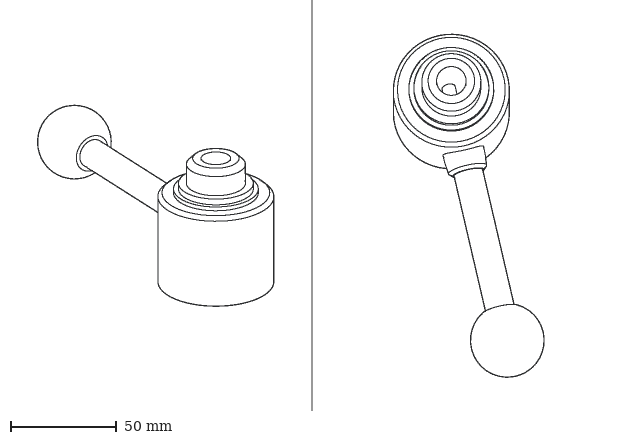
import cadquery as cq
import math

hub_radius = 27.5
hub_height = 46.5
hub_chamfer = 2.0
washer_radius = 20.1
washer_height = 2.0
flange_radius = 17.75
flange_height = 3.0
spigot_radius = 14.0
spigot_height = 13.0
spigot_chamfer = 3.0
bore_radius = 7.0
washer_top = hub_height + washer_height
flange_top = washer_top + flange_height
spigot_top = flange_top + spigot_height

lever_axis_z = 26.0
rod_radius = 7.0
pin_radius = 3.2

collar_reach = 36.5
collar_chamfer = 1.7
collar_end_radius = 7.6
collar_shoulder_radius = collar_end_radius + collar_chamfer
collar_root_radius = 9.9
collar_root_reach = 24.0
collar_bulge = 0.15

ball_radius = 17.5
ball_reach = 120.0
ball_flat_offset = 15.0


def disc(radius, base_z, height):
    """Cylinder on the hub axis."""
    return cq.Workplane("XY").workplane(offset=base_z).circle(radius).extrude(height)


def bar(radius, start_x, end_x):
    """Cylinder on the lever axis."""
    plane = cq.Plane(origin=(start_x, 0, lever_axis_z), xDir=(0, 1, 0), normal=(1, 0, 0))
    return cq.Workplane(plane).circle(radius).extrude(end_x - start_x)


def make_hub():
    body = disc(hub_radius, 0, hub_height).faces(">Z").edges().chamfer(hub_chamfer)
    washer = disc(washer_radius, hub_height, washer_height)
    flange = disc(flange_radius, washer_top, flange_height)
    spigot = disc(spigot_radius, flange_top, spigot_height).faces(">Z").edges().chamfer(spigot_chamfer)
    return body.union(washer).union(flange).union(spigot)


def make_bore():
    return disc(bore_radius, 0, spigot_top)


def make_collar():
    shoulder_x = -collar_reach + collar_chamfer
    bulge_x = (shoulder_x - collar_root_reach) / 2
    bulge_radius = (collar_shoulder_radius + collar_root_radius) / 2 + collar_bulge
    profile = (
        cq.Workplane("XZ", origin=(0, 0, lever_axis_z))
        .moveTo(-collar_reach, 0)
        .lineTo(-collar_reach, collar_end_radius)
        .lineTo(shoulder_x, collar_shoulder_radius)
        .threePointArc((bulge_x, bulge_radius), (-collar_root_reach, collar_root_radius))
        .lineTo(-collar_root_reach, 0)
        .close()
    )
    return profile.revolve(360, (0, 0, 0), (1, 0, 0))


def make_ball():
    flat_x = -ball_reach + ball_flat_offset
    flat_radius = math.sqrt(ball_radius**2 - ball_flat_offset**2)
    profile = (
        cq.Workplane("XZ", origin=(0, 0, lever_axis_z))
        .moveTo(-ball_reach - ball_radius, 0)
        .threePointArc((-ball_reach, ball_radius), (flat_x, flat_radius))
        .lineTo(flat_x, 0)
        .close()
    )
    return profile.revolve(360, (0, 0, 0), (1, 0, 0))


hub = make_hub().union(make_collar()).cut(make_bore())
rod = bar(rod_radius, -ball_reach, -collar_root_reach)

pin_end_x = (bore_radius + hub_radius) / 2
pin = bar(pin_radius, -collar_root_reach, pin_end_x)

result = hub.union(rod).union(make_ball()).union(pin)